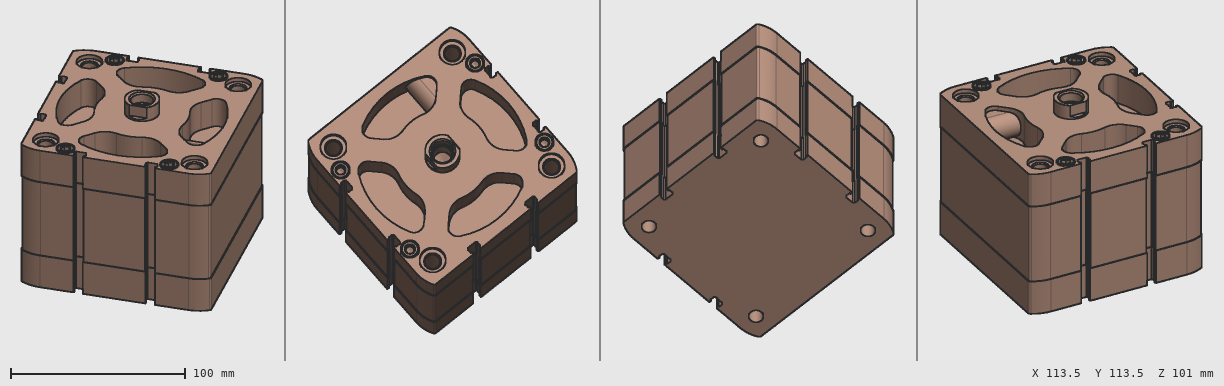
import cadquery as cq
import math

width = 113.5
body_height = 92.0
overall_height = 101.0
cover_height = 21.3
profile_inset = 0.5

countersink_angle = 90.0
drill_tip_angle = 118.0

corner_radius = 22.7
corner_start = 44.4
corner_edge_radius = 1.8

slot_center = 21.3
slot_mouth_width = 5.5
slot_inner_width = 7.0
slot_depth = 5.0
slot_lip = 1.6
slot_floor_chamfer = 0.7
slot_edge_chamfer = 0.5

pocket_outer_radius = 49.3
pocket_inner_radius = 27.5
pocket_rib_width = 14.0
pocket_outer_fillet = 5.7
pocket_inner_fillet = 12.0
pocket_depth = 18.5

boss_radius = 8.0
boss_axis_y = -20.2
boss_top_depth = 2.7

mount_pitch = 88.8
mount_hole_diameter = 8.5
mount_entry_diameter = 10.0
mount_recess_diameter = 15.0
mount_recess_depth = 2.6

screw_x = 31.0
screw_y = 50.2
screw_recess_diameter = 10.7
screw_head_diameter = 10.1
screw_face_diameter = 9.0
screw_groove_depth = 2.3
socket_across_flats = 5.0
socket_mouth_diameter = 6.0
socket_depth = 3.4

rod_diameter = 20.0
rod_across_flats = 17.0
rod_flat_length = 7.0
rod_flat_runout_angle = 30.0
rod_mouth_diameter = 15.0
rod_bore_diameter = 13.0
rod_bore_depth = 6.5
rod_thread_mouth_diameter = 12.0
rod_thread_diameter = 10.7
rod_thread_depth = 18.2


def cone_height(large_diameter, small_diameter, full_angle):
    return (large_diameter - small_diameter) / 2 / math.tan(math.radians(full_angle / 2))


def turned(points):
    """Solid of revolution about Z from (radius, z) points."""
    return cq.Workplane("XZ").polyline(points).close().revolve(360, (0, 0), (0, 1))


def outlined_block(half_width, bottom, height):
    """Square block with a large arc at each corner, rounded where it meets the left and right sides."""
    arc_center = half_width - corner_radius
    reach = half_width - corner_start
    arc_end = arc_center + math.sqrt(corner_radius**2 - reach**2)
    half_angle = math.asin(reach / corner_radius) / 2
    arc_mid = (
        corner_start + corner_radius * math.sin(half_angle),
        arc_center + corner_radius * math.cos(half_angle),
    )
    outline = (
        cq.Workplane("XY", origin=(0, 0, bottom))
        .moveTo(-corner_start, half_width)
        .lineTo(corner_start, half_width)
        .threePointArc(arc_mid, (half_width, arc_end))
        .lineTo(half_width, -arc_end)
        .threePointArc((arc_mid[0], -arc_mid[1]), (corner_start, -half_width))
        .lineTo(-corner_start, -half_width)
        .threePointArc((-arc_mid[0], -arc_mid[1]), (-half_width, -arc_end))
        .lineTo(-half_width, arc_end)
        .threePointArc((-arc_mid[0], arc_mid[1]), (-corner_start, half_width))
        .close()
    )
    block = outline.extrude(height)
    return block.edges("|Z and (>X or <X)").fillet(corner_edge_radius)


def slot_cutter(side, face, bottom, height):
    """Slot into the rear face at Y = face, left (-1) or right (+1) of the center plane."""
    mouth = slot_mouth_width / 2
    inner = slot_inner_width / 2
    lip = face - slot_lip
    floor = face - slot_depth
    return (
        cq.Workplane("XY", origin=(side * slot_center, 0, bottom))
        .polyline([
            (-mouth, width),
            (-mouth, lip),
            (-inner, lip),
            (-inner, floor + slot_floor_chamfer),
            (slot_floor_chamfer - inner, floor),
            (inner - slot_floor_chamfer, floor),
            (inner, floor + slot_floor_chamfer),
            (inner, lip),
            (mouth, lip),
            (mouth, width),
        ])
        .close()
        .extrude(height)
    )


def slot_edge_cutter(edge_x, chamfer_x, face, bottom, height):
    """Chamfer that runs from a slot wall at X = edge_x to X = chamfer_x on the rear face."""
    return (
        cq.Workplane("XY", origin=(0, 0, bottom))
        .polyline([
            (edge_x, face - slot_edge_chamfer),
            (chamfer_x, face),
            (edge_x, face),
        ])
        .close()
        .extrude(height)
    )


def slotted_section(half_width, bottom, height, inner_chamfer):
    """One section of the housing with two slots each in its rear, left and front sides."""
    section = outlined_block(half_width, bottom, height)
    inner_edge = slot_center - slot_mouth_width / 2
    outer_edge = slot_center + slot_mouth_width / 2
    chamfers = [(outer_edge, outer_edge + slot_edge_chamfer)]
    if inner_chamfer:
        chamfers.append((inner_edge, inner_edge - slot_edge_chamfer))
    for side in (-1, 1):
        slot = slot_cutter(side, half_width, bottom, height)
        for edge_x, chamfer_x in chamfers:
            edge = slot_edge_cutter(side * edge_x, side * chamfer_x, half_width, bottom, height)
            slot = slot.union(edge)
        for turn in (0, 90, 180):
            section = section.cut(slot.rotate((0, 0, 0), (0, 0, 1), turn))
    return section


def pocket_cutter():
    """Kidney pocket on the rear side, between two ribs along the diagonals."""
    sector = (
        cq.Workplane("XY", origin=(0, 0, body_height - pocket_depth))
        .polyline([(0, 0), (width, width), (-width, width)])
        .close()
        .extrude(pocket_depth)
        .translate((0, pocket_rib_width / math.sqrt(2), 0))
    )
    ring = (
        cq.Workplane("XY", origin=(0, 0, body_height - pocket_depth))
        .circle(pocket_outer_radius)
        .circle(pocket_inner_radius)
        .extrude(pocket_depth)
    )
    pocket = ring.intersect(sector)
    pocket = pocket.edges("|Z").edges(">X or <X").fillet(pocket_outer_fillet)
    inner_corners = cq.selectors.BoxSelector(
        (-width, 0, 0), (width, pocket_inner_radius, body_height)
    )
    return pocket.edges("|Z").edges(inner_corners).fillet(pocket_inner_fillet)


def port_boss():
    """Round-nosed boss along X on the floor of the right pocket, reaching its front end."""
    top = body_height - boss_top_depth
    bottom = top - 2 * boss_radius
    return (
        cq.Workplane("YZ")
        .moveTo(boss_axis_y, top)
        .threePointArc((boss_axis_y + boss_radius, top - boss_radius), (boss_axis_y, bottom))
        .lineTo(-width / 2, bottom)
        .lineTo(-width / 2, top)
        .close()
        .extrude(width / 2)
    )


def mount_hole_cutter():
    recess_floor = body_height - mount_recess_depth
    entry_bottom = recess_floor - cone_height(mount_entry_diameter, mount_hole_diameter, countersink_angle)
    return turned([
        (0, 0),
        (mount_hole_diameter / 2, 0),
        (mount_hole_diameter / 2, entry_bottom),
        (mount_entry_diameter / 2, recess_floor),
        (mount_recess_diameter / 2, recess_floor),
        (mount_recess_diameter / 2, body_height),
        (0, body_height),
    ])


def screw_cutter():
    groove_bottom = body_height - screw_groove_depth
    chamfer = (screw_head_diameter - screw_face_diameter) / 2
    groove = turned([
        (screw_head_diameter / 2, groove_bottom),
        (screw_recess_diameter / 2, groove_bottom),
        (screw_recess_diameter / 2, body_height),
        (screw_face_diameter / 2, body_height),
        (screw_head_diameter / 2, body_height - chamfer),
    ])
    socket_bottom = body_height - socket_depth
    socket = (
        cq.Workplane("XY", origin=(0, 0, socket_bottom))
        .transformed(rotate=(0, 0, 90))
        .polygon(6, socket_across_flats, circumscribed=True)
        .extrude(socket_depth)
    )
    tip = turned([
        (0, socket_bottom),
        (socket_across_flats / 2, socket_bottom),
        (0, socket_bottom - cone_height(socket_across_flats, 0, drill_tip_angle)),
    ])
    mouth = turned([
        (0, body_height),
        (socket_mouth_diameter / 2, body_height),
        (0, body_height - cone_height(socket_mouth_diameter, 0, countersink_angle)),
    ])
    return groove.union(socket.union(tip).union(mouth))


def make_housing():
    half_width = width / 2
    profile_height = body_height - 2 * cover_height
    upper_cover_bottom = body_height - cover_height
    lower_cover = slotted_section(half_width, 0, cover_height, inner_chamfer=False)
    profile = slotted_section(half_width - profile_inset, cover_height, profile_height, inner_chamfer=True)
    upper_cover = slotted_section(half_width, upper_cover_bottom, cover_height, inner_chamfer=False)
    housing = lower_cover.union(profile).union(upper_cover)
    pocket = pocket_cutter()
    for turn in (0, 90, 180):
        housing = housing.cut(pocket.rotate((0, 0, 0), (0, 0, 1), turn))
    housing = housing.cut(pocket.rotate((0, 0, 0), (0, 0, 1), -90).cut(port_boss()))
    mount_hole = mount_hole_cutter()
    screw = screw_cutter()
    for x_sign in (-1, 1):
        for y_sign in (-1, 1):
            mount_place = (x_sign * mount_pitch / 2, y_sign * mount_pitch / 2, 0)
            housing = housing.cut(mount_hole.translate(mount_place))
            housing = housing.cut(screw.translate((x_sign * screw_x, y_sign * screw_y, 0)))
    rod_hole = cq.Workplane("XY", origin=(0, 0, upper_cover_bottom)).circle(rod_diameter / 2)
    return housing.cut(rod_hole.extrude(cover_height))


def flat_cutter(side):
    """Wrench flat on the front (-1) or rear (+1) of the rod, with a sloping runout."""
    flat = rod_across_flats / 2
    outside = rod_diameter
    flat_bottom = overall_height - rod_flat_length
    runout_drop = (outside - flat) * math.tan(math.radians(rod_flat_runout_angle))
    return (
        cq.Workplane("YZ")
        .polyline([
            (side * flat, overall_height),
            (side * flat, flat_bottom),
            (side * outside, flat_bottom - runout_drop),
            (side * outside, overall_height),
        ])
        .close()
        .extrude(rod_diameter, both=True)
    )


def make_rod():
    rod_bottom = body_height - cover_height
    rod = (
        cq.Workplane("XY", origin=(0, 0, rod_bottom))
        .circle(rod_diameter / 2)
        .extrude(overall_height - rod_bottom)
    )
    for side in (-1, 1):
        rod = rod.cut(flat_cutter(side))
    mouth_bottom = overall_height - cone_height(rod_mouth_diameter, rod_bore_diameter, countersink_angle)
    bore_bottom = overall_height - rod_bore_depth
    thread_top = bore_bottom - cone_height(rod_thread_mouth_diameter, rod_thread_diameter, countersink_angle)
    thread_bottom = overall_height - rod_thread_depth
    hole = turned([
        (0, overall_height),
        (rod_mouth_diameter / 2, overall_height),
        (rod_bore_diameter / 2, mouth_bottom),
        (rod_bore_diameter / 2, bore_bottom),
        (rod_thread_mouth_diameter / 2, bore_bottom),
        (rod_thread_diameter / 2, thread_top),
        (rod_thread_diameter / 2, thread_bottom),
        (0, thread_bottom - cone_height(rod_thread_diameter, 0, drill_tip_angle)),
    ])
    return rod.cut(hole)


housing = make_housing()
rod = make_rod()
result = cq.Compound.makeCompound([housing.val(), rod.val()])